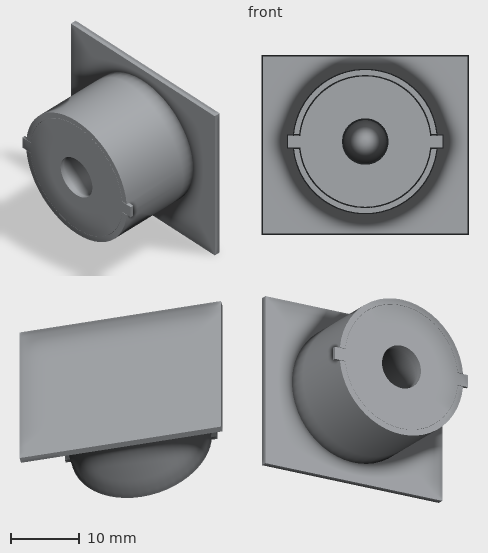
import cadquery as cq

plate_width = 30.0
plate_height = 26.0
plate_thickness = 1.0

total_depth = 14.45
housing_length = total_depth - plate_thickness
housing_radius = 10.5
bore_radius = 9.6
front_y = -housing_length
axis_height = 0.5

radial_clearance = 0.03
plug_radius = bore_radius - radial_clearance
channel_radius = 3.3
tab_span = 22.6
tab_width = 1.9
tab_thickness = 0.5
slot_side_clearance = 0.05
slot_width = tab_width + 2 * slot_side_clearance

ball_radius = 3.2



def cylinder(radius, length):
    """Cylinder reaching forward (-Y) from the front face of the plate."""
    return cq.Workplane("XZ").center(0, axis_height).circle(radius).extrude(length)


def front_bar(span, width):
    """Bar across the axis, flush with the front face and as deep as a tab."""
    center_y = front_y + tab_thickness / 2
    return cq.Workplane("XY").box(span, tab_thickness, width).translate((0, center_y, axis_height))


def make_plate():
    plate = cq.Workplane("XY").box(plate_width, plate_thickness, plate_height)
    return plate.translate((0, plate_thickness / 2, 0))


def make_housing():
    tube = cylinder(housing_radius, housing_length).cut(cylinder(bore_radius, housing_length))
    return tube.cut(front_bar(tab_span, slot_width))


def make_plug():
    plug = cylinder(plug_radius, housing_length).union(front_bar(tab_span, tab_width))
    return plug.cut(cylinder(channel_radius, housing_length))


def make_ball():
    return cq.Workplane("XY").sphere(ball_radius).translate((0, -ball_radius, axis_height))


plate = make_plate()
housing = make_housing()
plug = make_plug()
ball = make_ball()

result = cq.Compound.makeCompound([plate.val(), housing.val(), plug.val(), ball.val()])